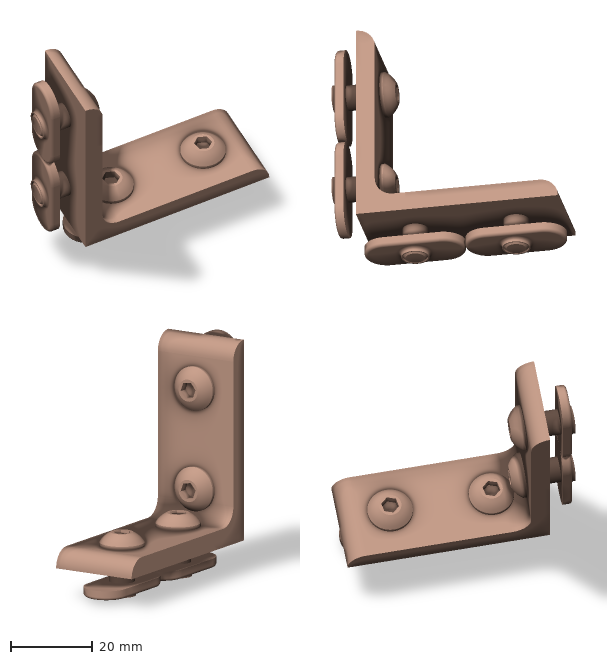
import cadquery as cq
import math

width = 22.2
leg = 50.8
thickness = 4.75
end_radius = 4.65
corner_radius = 4.65
screws_per_leg = 2
pitch = leg / screws_per_leg
screw_places = [pitch * (i + 0.5) for i in range(screws_per_leg)]

plate_gap = 4.2
plate_length = pitch
plate_width = 11.2
plate_thickness = 2.4
plate_edge_radius = 0.75
boss_diameter = 7.0
boss_height = 1.1
boss_fillet = 0.75
plate_near = -plate_gap
plate_far = plate_near - plate_thickness

shank_diameter = 6.35
tip_diameter = 4.9
overall = 58.75
tip_z = leg - overall
head_diameter = 11.2
head_height = 3.4
head_rim = 0.9
head_flat_diameter = 5.6
socket_corners = 4.45
socket_depth = 2.2
socket_cone_angle = 30
socket_angle = 10


def to_upright_leg(body):
    """Turn a body from the flat leg onto the upright leg, a quarter turn about the centre of the square."""
    middle = leg / 2
    return body.rotate((0, middle, middle), (1, middle, middle), -90)


def on_both_legs(body):
    """Copies of a body modelled at y = 0, at every screw place of both legs."""
    flat = [body.translate((0, y, 0)) for y in screw_places]
    return flat + [to_upright_leg(copy) for copy in flat]


def make_screw():
    """Screw along Z through the flat leg, head on top of it."""
    tip_radius = tip_diameter / 2
    shank_radius = shank_diameter / 2
    head_radius = head_diameter / 2
    flat_radius = head_flat_diameter / 2
    chamfer = shank_radius - tip_radius
    rim_z = thickness + head_rim
    top_z = thickness + head_height

    rise = top_z - rim_z
    drop = (head_radius**2 - flat_radius**2 - rise**2) / (2 * rise)
    sphere_radius = math.hypot(head_radius, drop)
    dome_angle = (math.atan2(drop, head_radius) + math.atan2(drop + rise, flat_radius)) / 2
    dome_middle = (
        sphere_radius * math.cos(dome_angle),
        rim_z - drop + sphere_radius * math.sin(dome_angle),
    )
    blank = (
        cq.Workplane("XZ")
        .moveTo(0, tip_z)
        .lineTo(tip_radius, tip_z)
        .lineTo(shank_radius, tip_z + chamfer)
        .lineTo(shank_radius, thickness)
        .lineTo(head_radius, thickness)
        .lineTo(head_radius, rim_z)
        .threePointArc(dome_middle, (flat_radius, top_z))
        .lineTo(0, top_z)
        .close()
        .revolve(360, (0, 0, 0), (0, 1, 0))
    )

    socket_z = top_z - socket_depth
    cone_radius = socket_corners / 2 * math.cos(math.pi / 6)
    cone_depth = cone_radius * math.tan(math.radians(socket_cone_angle))
    drill_point = (
        cq.Workplane("XZ")
        .moveTo(0, socket_z - cone_depth)
        .lineTo(cone_radius, socket_z)
        .lineTo(0, socket_z)
        .close()
        .revolve(360, (0, 0, 0), (0, 1, 0))
    )
    hexagon = (
        cq.Workplane("XY", origin=(0, 0, socket_z))
        .polygon(6, socket_corners)
        .extrude(socket_depth)
        .rotate((0, 0, 0), (0, 0, 1), socket_angle)
    )
    return blank.cut(hexagon).cut(drill_point)


def make_nut_plate():
    """Oblong plate under the flat leg, with a filleted boss on its far face and a hole for the screw."""
    plate = (
        cq.Workplane("XY", origin=(0, 0, plate_near))
        .slot2D(plate_length, plate_width, 90)
        .extrude(-plate_thickness)
        .faces("<Z")
        .edges()
        .fillet(plate_edge_radius)
    )
    boss_radius = boss_diameter / 2
    foot_radius = boss_radius + boss_fillet
    boss = (
        cq.Workplane("XZ")
        .moveTo(0, plate_far)
        .lineTo(foot_radius, plate_far)
        .radiusArc((boss_radius, plate_far - boss_fillet), -boss_fillet)
        .lineTo(boss_radius, plate_far - boss_height)
        .lineTo(0, plate_far - boss_height)
        .close()
        .revolve(360, (0, 0, 0), (0, 1, 0))
    )
    hole = (
        cq.Workplane("XY", origin=(0, 0, plate_near))
        .circle(shank_diameter / 2)
        .extrude(-plate_thickness - boss_height)
    )
    return plate.union(boss).cut(hole)


def make_bracket():
    """L-shaped bracket, outer corner along the X axis, with screw holes and head seats."""
    bracket = (
        cq.Workplane("YZ", origin=(-width / 2, 0, 0))
        .moveTo(0, 0)
        .lineTo(leg, 0)
        .lineTo(leg, thickness - end_radius)
        .radiusArc((leg - end_radius, thickness), -end_radius)
        .lineTo(thickness + corner_radius, thickness)
        .radiusArc((thickness, thickness + corner_radius), corner_radius)
        .lineTo(thickness, leg - end_radius)
        .radiusArc((thickness - end_radius, leg), -end_radius)
        .lineTo(0, leg)
        .close()
        .extrude(width)
    )
    hole = cq.Workplane("XY").circle(shank_diameter / 2).extrude(thickness)
    seat = cq.Workplane("XY", origin=(0, 0, thickness)).circle(head_diameter / 2).extrude(head_rim)
    for cutter in on_both_legs(hole.union(seat)):
        bracket = bracket.cut(cutter)
    return bracket


bracket = make_bracket()
screws = on_both_legs(make_screw())
nut_plates = on_both_legs(make_nut_plate())

result = cq.Compound.makeCompound([body.solids().val() for body in [bracket, *screws, *nut_plates]])